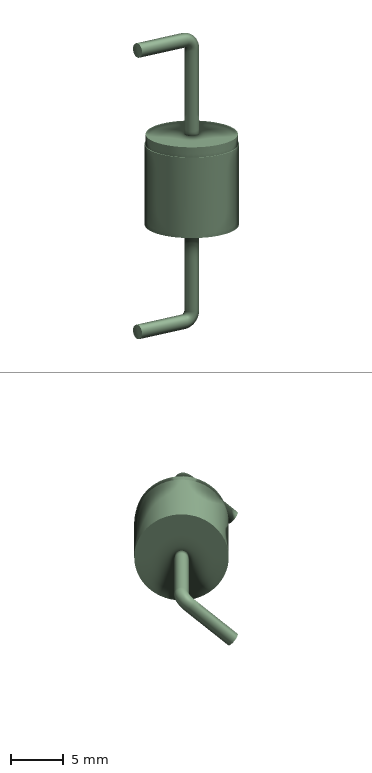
import cadquery as cq

overall_height = 29.4
body_diameter = 9.0
body_height = 9.0
cap_diameter = 8.8
cap_height = 1.0
wire_diameter = 1.4
bend_radius = 1.0
lead_reach = 6.5

body_bottom = -body_height / 2
main_height = body_height - cap_height
lead_level = (overall_height - wire_diameter) / 2


def make_body():
    """Main cylinder with the slightly narrower cap on top."""
    main = cq.Workplane("XY").workplane(offset=body_bottom).circle(body_diameter / 2).extrude(main_height)
    return main.faces(">Z").workplane().circle(cap_diameter / 2).extrude(cap_height)


def make_upper_lead():
    """Wire rising from the body centre, then bending toward -Y."""
    bend_start = lead_level - bend_radius
    path = (
        cq.Workplane("YZ")
        .moveTo(0, 0)
        .lineTo(0, bend_start)
        .tangentArcPoint((-bend_radius, lead_level), relative=False)
        .lineTo(-lead_reach, lead_level)
    )
    return cq.Workplane("XY").circle(wire_diameter / 2).sweep(path)


upper_lead = make_upper_lead()
lower_lead = upper_lead.mirror("XY")
result = make_body().union(upper_lead).union(lower_lead)